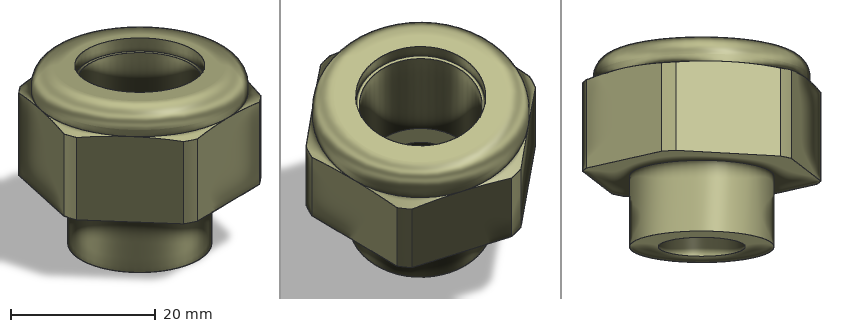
import cadquery as cq
import math

spigot_top = 10.0
hex_top = 23.0
total_height = 27.0

spigot_diameter = 20.0
across_flats = 30.0
corner_diameter = 33.5
hex_chamfer_angle = 15.0
cap_diameter = across_flats
cap_edge_radius = 3.0

mouth_diameter = 18.0
mouth_depth = 2.0
bore_diameter = 17.0
bore_floor = spigot_top
through_diameter = 12.0


def cylinder(diameter, bottom, top):
    """Upright cylinder on the part axis between two heights."""
    return cq.Workplane("XY").workplane(offset=bottom).circle(diameter / 2).extrude(top - bottom)


def corner_envelope():
    """Turned envelope of the hexagon: a cylinder with a shallow conical top edge."""
    corner_radius = corner_diameter / 2
    cap_radius = cap_diameter / 2
    chamfer_drop = (corner_radius - cap_radius) * math.tan(math.radians(hex_chamfer_angle))
    half_section = (
        cq.Workplane("XZ")
        .moveTo(0, spigot_top)
        .lineTo(corner_radius, spigot_top)
        .lineTo(corner_radius, hex_top - chamfer_drop)
        .lineTo(cap_radius, hex_top)
        .lineTo(0, hex_top)
        .close()
    )
    return half_section.revolve(360, (0, 0, 0), (0, 1, 0))


def hexagon_body():
    """Hexagon with corners on the X axis, trimmed by the turned envelope."""
    across_corners = across_flats / math.cos(math.radians(30))
    prism = (
        cq.Workplane("XY")
        .workplane(offset=spigot_top)
        .polygon(6, across_corners)
        .extrude(hex_top - spigot_top)
    )
    return prism.intersect(corner_envelope())


def rounded_cap():
    """Round cap with a large radius around its top edge."""
    return cylinder(cap_diameter, hex_top, total_height).faces(">Z").edges().fillet(cap_edge_radius)


def stepped_bore():
    """Wide mouth, long bore and a smaller hole through the bottom."""
    mouth_floor = total_height - mouth_depth
    mouth = cylinder(mouth_diameter, mouth_floor, total_height)
    bore = cylinder(bore_diameter, bore_floor, mouth_floor)
    through_hole = cylinder(through_diameter, 0, bore_floor)
    return mouth.union(bore).union(through_hole)


spigot = cylinder(spigot_diameter, 0, spigot_top)
result = spigot.union(hexagon_body()).union(rounded_cap()).cut(stepped_bore())